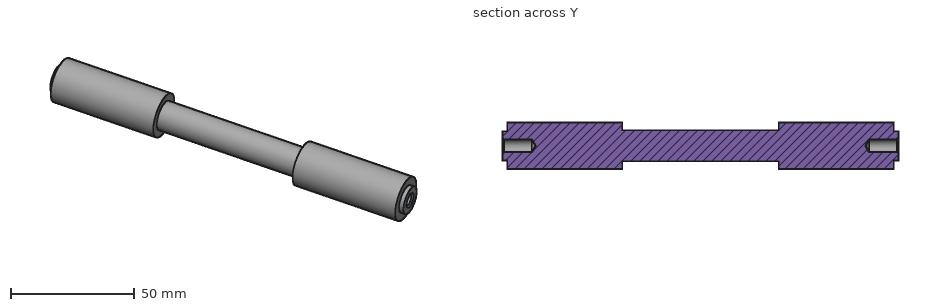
import cadquery as cq
import math

overall_length = 161.0
sleeve_diameter = 19.05
sleeve_gap = 63.5
rod_diameter = 12.7
tip_diameter = 12.0
tip_length = 2.0

hole_diameter = 5.0
countersink_diameter = 6.4
hole_depth = 12.0
drill_point_angle = 118.0

half_length = overall_length / 2
sleeve_outer_x = half_length - tip_length
sleeve_inner_x = sleeve_gap / 2


def cylinder_along_x(diameter, start_x, end_x):
    """Cylinder on the X axis between two X positions."""
    return cq.Workplane("YZ", origin=(start_x, 0, 0)).circle(diameter / 2).extrude(end_x - start_x)


def end_hole():
    """Solid to remove for the hole in the +X end."""
    hole_radius = hole_diameter / 2
    countersink_radius = countersink_diameter / 2
    countersink_depth = countersink_radius - hole_radius
    point_depth = hole_radius / math.tan(math.radians(drill_point_angle / 2))
    hole_bottom_x = half_length - hole_depth
    return (
        cq.Workplane("XY")
        .moveTo(half_length, 0)
        .lineTo(half_length, countersink_radius)
        .lineTo(half_length - countersink_depth, hole_radius)
        .lineTo(hole_bottom_x, hole_radius)
        .lineTo(hole_bottom_x - point_depth, 0)
        .close()
        .revolve(360, (0, 0, 0), (1, 0, 0))
    )


body = cylinder_along_x(tip_diameter, -half_length, half_length)
body = body.union(cylinder_along_x(rod_diameter, -sleeve_inner_x, sleeve_inner_x))
body = body.union(cylinder_along_x(sleeve_diameter, -sleeve_outer_x, -sleeve_inner_x))
body = body.union(cylinder_along_x(sleeve_diameter, sleeve_inner_x, sleeve_outer_x))

right_hole = end_hole()
left_hole = right_hole.mirror("YZ")
result = body.cut(right_hole).cut(left_hole)